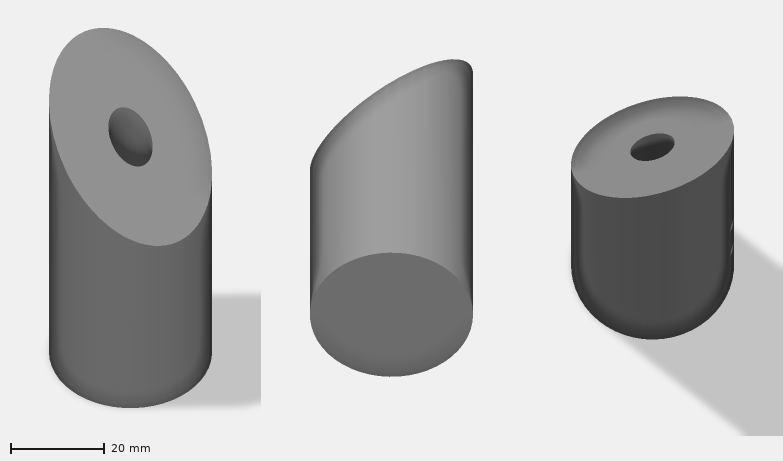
import cadquery as cq
import math

body_diameter = 34.9
body_height = 81.0
body_radius = body_diameter / 2
low_side_height = body_height - body_diameter

bore_diameter = 9.5
bore_floor = 12.15

side_hole_diameter = 3.0
lower_hole_height = 17.3
side_hole_spacing = 13.0
side_hole_heights = (lower_hole_height, lower_hole_height + side_hole_spacing)
side_hole_angle = math.radians(225)


def slanted_body():
    """Cylinder kept only below the plane falling from -X to +X."""
    cylinder = cq.Workplane("XY").circle(body_radius).extrude(body_height)
    profile = (
        cq.Workplane("XZ")
        .moveTo(-body_radius, 0)
        .lineTo(body_radius, 0)
        .lineTo(body_radius, low_side_height)
        .lineTo(-body_radius, body_height)
        .close()
        .extrude(body_radius, both=True)
    )
    return cylinder.intersect(profile)


def axial_bore():
    return (
        cq.Workplane("XY", origin=(0, 0, bore_floor))
        .circle(bore_diameter / 2)
        .extrude(body_height - bore_floor)
    )


def side_hole(height):
    """Radial cutter from the axis out through the wall."""
    outward = cq.Vector(math.cos(side_hole_angle), math.sin(side_hole_angle), 0)
    return cq.Workplane(
        cq.Solid.makeCylinder(side_hole_diameter / 2, body_radius, cq.Vector(0, 0, height), outward)
    )


result = slanted_body().cut(axial_bore())
for hole_height in side_hole_heights:
    result = result.cut(side_hole(hole_height))